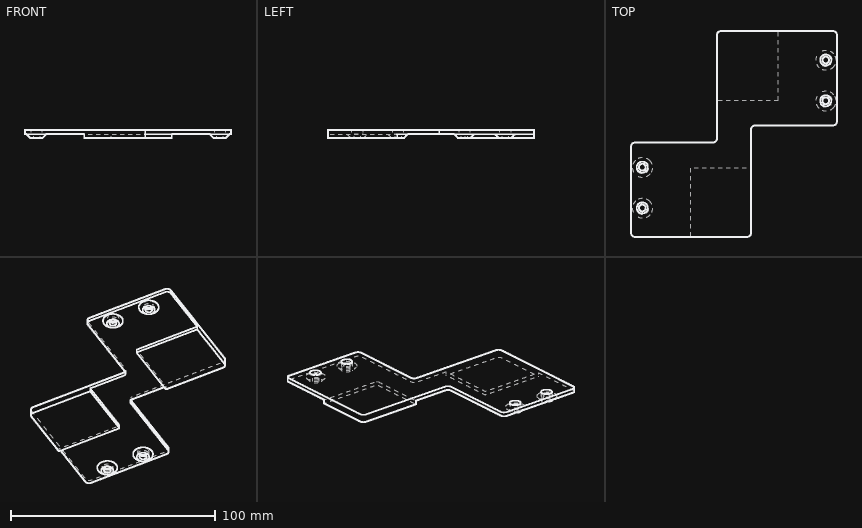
import cadquery as cq

side = 101.0
arm_width = 58.9
arm_depth = 46.3
total_height = 4.0
plate_thickness = 2.1
corner_radius = 2.0

pad_width = 29.9
pad_depth = 33.9

hole_edge_offset = 5.6
hole_rows = (14.2, 34.2)
hole_diameter = 3.2
counterbore_diameter = 5.5
counterbore_depth = 2.0
boss_top_diameter = 9.8
boss_bottom_diameter = 6.1

boss_height = total_height - plate_thickness


def plate_blank(height):
    """S-shaped outline with every corner rounded, topped at the upper face."""
    outline = [
        (0, 0),
        (arm_width, 0),
        (arm_width, side - arm_depth),
        (side, side - arm_depth),
        (side, side),
        (side - arm_width, side),
        (side - arm_width, arm_depth),
        (0, arm_depth),
    ]
    blank = cq.Workplane("XY", origin=(0, 0, total_height - height)).polyline(outline).close().extrude(height)
    return blank.edges("|Z").fillet(corner_radius)


def pad_zone(x, y):
    """Block whose lower corner is (x, y), limiting one pad."""
    return cq.Workplane("XY").box(pad_width, pad_depth, total_height, centered=False).translate((x, y, 0))


def boss():
    """Cone widening from the bottom face up to the underside of the plate."""
    return (
        cq.Workplane("XY")
        .circle(boss_bottom_diameter / 2)
        .workplane(offset=boss_height)
        .circle(boss_top_diameter / 2)
        .loft()
    )


hole_points = []
for row in hole_rows:
    hole_points.append((hole_edge_offset, row))
    hole_points.append((side - hole_edge_offset, side - row))

pad_zones = pad_zone(arm_width - pad_width, 0).union(pad_zone(side - arm_width, side - pad_depth))
pads = plate_blank(total_height).intersect(pad_zones)

body = plate_blank(plate_thickness).union(pads)
for x, y in hole_points:
    body = body.union(boss().translate((x, y, 0)))

result = (
    body.faces(">Z")
    .workplane(origin=(0, 0, total_height))
    .pushPoints(hole_points)
    .cboreHole(hole_diameter, counterbore_diameter, counterbore_depth)
)